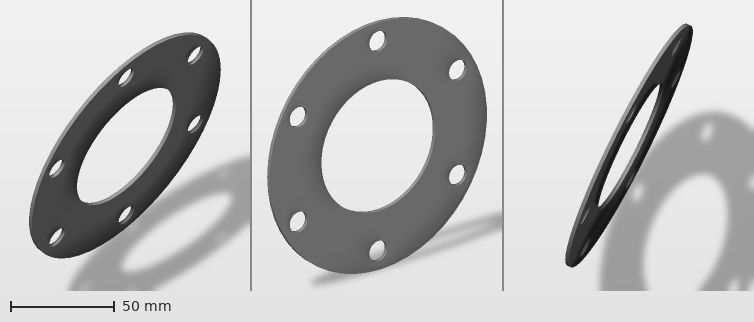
import cadquery as cq

outer_diameter = 130.0
bore_diameter = 68.0
thickness = 2.0
bolt_hole_diameter = 10.5
bolt_circle_diameter = 110.0
bolt_hole_count = 6

ring = (
    cq.Workplane("YZ")
    .circle(outer_diameter / 2)
    .circle(bore_diameter / 2)
    .extrude(thickness)
)

first_hole_angle = 90
bolt_holes = (
    cq.Workplane("YZ")
    .polarArray(bolt_circle_diameter / 2, first_hole_angle, 360, bolt_hole_count)
    .circle(bolt_hole_diameter / 2)
    .extrude(thickness)
)

result = ring.cut(bolt_holes)